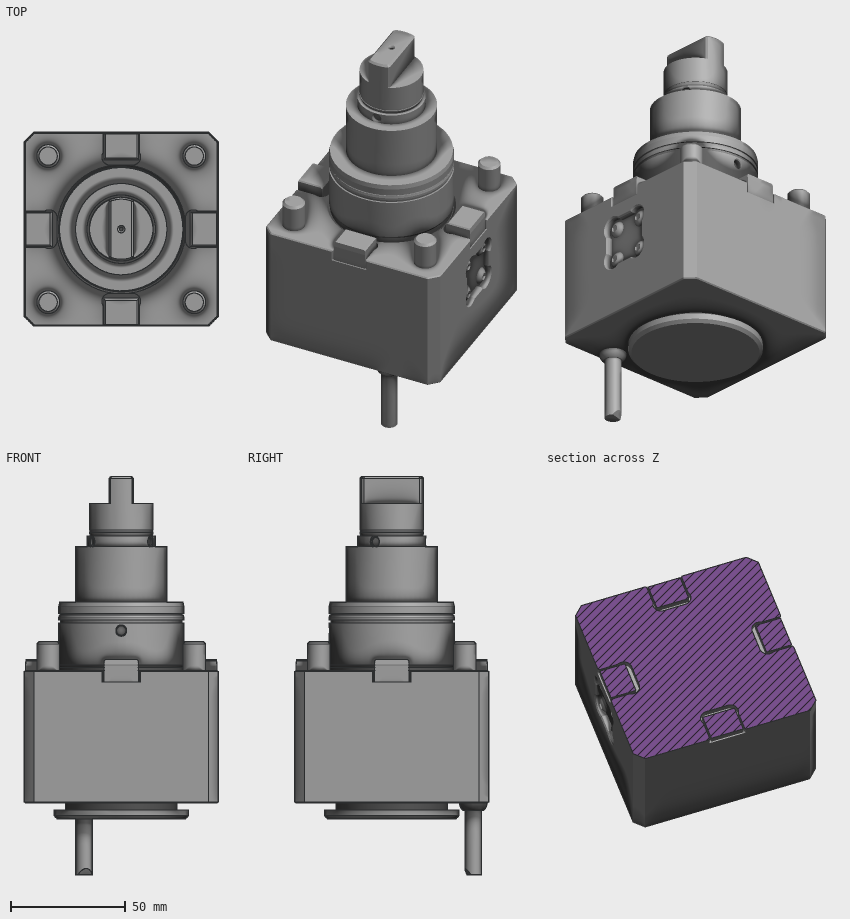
import cadquery as cq
import math


CHAMFER_ANGLE = 45.0
SIDE_ANGLES = (0, 90, 180, 270)
CUT_OVERSHOOT = 2.0

HOUSING_SIDE = 85.0
HOUSING_HEIGHT = 58.0
CORNER_CHAMFER = 4.25
RIM_CHAMFER = 0.5
HALF_SIDE = HOUSING_SIDE / 2

MOAT_DIAMETER = 56.6
MOAT_DEPTH = 1.0

BOSS_DIAMETER = 54.9
BOSS_TOP = 30.0
BOSS_TOP_DIAMETER = 54.0
BOSS_LEAD_IN = 2.0
BOSS_FOOT_DIAMETER = 53.9
FOOT_TAPER_BOTTOM = 1.4
FOOT_TAPER_TOP = 2.4
UPPER_GROOVE = (24.3, 24.9)
LOWER_GROOVE = (20.8, 22.2)
BOSS_GROOVE_DIAMETER = 53.4
LAND_TAPER_START = 23.2
LAND_TOP_DIAMETER = 54.3
BOSS_HOLE_DIAMETER = 4.13
BOSS_HOLE_MOUTH = 5.0
BOSS_HOLE_Z = 17.5
BOSS_HOLE_DEPTH = 3.0
BOSS_HOLE_ANGLE = -90

SHAFT_DIAMETER = 40.0
SHAFT_TOP = 54.3
COLLAR_DIAMETER = 30.0
COLLAR_TOP = 59.0
HEAD_DIAMETER = 28.0
HEAD_NECK_DIAMETER = 27.0
HEAD_BOTTOM = 60.4
HEAD_GROOVE = (60.7, 61.6)
HEAD_GROOVE_DIAMETER = 27.5
SHOULDER_Z = 73.2

COLLAR_HOLE_ANGLES = (90, 210, 330)
COLLAR_HOLE_DIAMETER = 4.0
COLLAR_HOLE_MOUTH = 5.0
COLLAR_HOLE_Z = 56.4
COLLAR_HOLE_DEPTH = 1.5

BLADE_WIDTH = 10.7
BLADE_TOP = 85.0
BLADE_EDGE_CHAMFER = 0.7
BLADE_TOP_CHAMFER = 0.85
CENTRE_HOLE_DIAMETER = 1.6
CENTRE_HOLE_MOUTH = 3.2
CENTRE_HOLE_DEPTH = 3.0

POST_DIAMETER = 10.0
POST_OFFSET = 32.0
POST_HEIGHT = 12.7
POST_CHAMFER = 1.0

KEY_WIDTH = 15.0
KEY_TOP = 4.75
KEY_INNER = 30.2
KEY_INNER_CHAMFER = 1.0
KEY_OUTER_SETBACK = 0.5
KEY_SLOPE_SETBACK = 0.3
KEY_SLOPE_START = 2.4
KEY_SIDE_CHAMFER = 0.5
SLOT_WIDTH = 16.0
SLOT_DEPTH = 5.0
SLOT_MOUTH_CHAMFER = 0.5
SLOT_INNER = 28.1
RELIEF_DIAMETER = 7.0
RELIEF_OVERCUT = 0.5

POCKET_Z = -23.0
POCKET_SIDE = 22.1
POCKET_DEPTH = 3.0
POCKET_CHAMFER = 0.6
LOBE_DIAMETER = 9.8
SCREW_OFFSET = 7.5
SCREW_HEAD_DIAMETER = 7.6
SCREW_HEAD_HEIGHT = 2.2
SCREW_SOCKET_DIAMETER = 3.6
SCREW_SOCKET_DEPTH = 1.2

NECK_DIAMETER = 49.0
NECK_HEIGHT = 3.0
FLANGE_DIAMETER = 59.0
FLANGE_HEIGHT = 4.0
FLANGE_CHAMFER = 1.4

CABLE_X = -16.3
CABLE_Y = 35.7
CABLE_DIAMETER = 7.4
CABLE_BOTTOM = -89.5
CABLE_CUT_RISE = 2.8
CABLE_CUT_OFFSET = 1.9
CABLE_CUT_ANGLE = -75
GLAND_DIAMETER = 12.0
GLAND_END_DIAMETER = 8.4
GLAND_HEIGHT = 3.4
GLAND_BULGE = 0.4


def cylinder(diameter, bottom, top):
    return cq.Workplane("XY", origin=(0, 0, bottom)).circle(diameter / 2).extrude(top - bottom)


def cone(bottom_diameter, top_diameter, bottom, top):
    """Truncated cone on the Z axis."""
    solid = cq.Solid.makeCone(bottom_diameter / 2, top_diameter / 2, top - bottom, cq.Vector(0, 0, bottom))
    return cq.Workplane(obj=solid)


def radial_cutter(hole_diameter, mouth_diameter, face_radius, depth, z, angle):
    """Flat-bottomed radial hole whose mouth is countersunk by 45 degrees."""
    mouth_depth = (mouth_diameter - hole_diameter) / 2
    direction = cq.Vector(math.cos(math.radians(angle)), math.sin(math.radians(angle)), 0)
    bottom = direction * (face_radius - depth) + cq.Vector(0, 0, z)
    hole = cq.Solid.makeCylinder(hole_diameter / 2, depth + CUT_OVERSHOOT, bottom, direction)
    mouth_start = direction * (face_radius - mouth_depth) + cq.Vector(0, 0, z)
    mouth = cq.Solid.makeCone(hole_diameter / 2, mouth_diameter / 2, mouth_depth, mouth_start, direction)
    return cq.Workplane(obj=hole).union(cq.Workplane(obj=mouth))


def ring_groove(outer_diameter, groove_diameter, limits):
    bottom, top = limits
    return cylinder(outer_diameter + CUT_OVERSHOOT, bottom, top).cut(cylinder(groove_diameter, bottom, top))


def make_housing():
    housing = cq.Workplane("XY").box(HOUSING_SIDE, HOUSING_SIDE, HOUSING_HEIGHT, centered=(True, True, False))
    housing = housing.translate((0, 0, -HOUSING_HEIGHT))
    housing = housing.edges("|Z").chamfer(CORNER_CHAMFER)
    housing = housing.faces("<Z or >Z").chamfer(RIM_CHAMFER)
    moat_floor_diameter = MOAT_DIAMETER - 2 * MOAT_DEPTH
    return housing.cut(cone(moat_floor_diameter, MOAT_DIAMETER, -MOAT_DEPTH, 0))


def make_boss():
    boss = cylinder(BOSS_FOOT_DIAMETER, -MOAT_DEPTH, FOOT_TAPER_BOTTOM)
    boss = boss.union(cone(BOSS_FOOT_DIAMETER, BOSS_DIAMETER, FOOT_TAPER_BOTTOM, FOOT_TAPER_TOP))
    boss = boss.union(cylinder(BOSS_DIAMETER, FOOT_TAPER_TOP, BOSS_TOP - BOSS_LEAD_IN))
    boss = boss.union(cone(BOSS_DIAMETER, BOSS_TOP_DIAMETER, BOSS_TOP - BOSS_LEAD_IN, BOSS_TOP))
    for limits in (UPPER_GROOVE, LOWER_GROOVE):
        boss = boss.cut(ring_groove(BOSS_DIAMETER, BOSS_GROOVE_DIAMETER, limits))
    land_top = UPPER_GROOVE[0]
    land_ring = cylinder(BOSS_DIAMETER + CUT_OVERSHOOT, LAND_TAPER_START, land_top)
    boss = boss.cut(land_ring.cut(cone(BOSS_DIAMETER, LAND_TOP_DIAMETER, LAND_TAPER_START, land_top)))
    hole = radial_cutter(BOSS_HOLE_DIAMETER, BOSS_HOLE_MOUTH, BOSS_DIAMETER / 2,
                         BOSS_HOLE_DEPTH, BOSS_HOLE_Z, BOSS_HOLE_ANGLE)
    return boss.cut(hole)


def make_shaft():
    shaft = cylinder(SHAFT_DIAMETER, BOSS_TOP, SHAFT_TOP)
    shaft = shaft.union(cylinder(COLLAR_DIAMETER, SHAFT_TOP, COLLAR_TOP))
    for angle in COLLAR_HOLE_ANGLES:
        shaft = shaft.cut(radial_cutter(COLLAR_HOLE_DIAMETER, COLLAR_HOLE_MOUTH, COLLAR_DIAMETER / 2,
                                        COLLAR_HOLE_DEPTH, COLLAR_HOLE_Z, angle))
    shaft = shaft.union(cone(HEAD_NECK_DIAMETER, HEAD_DIAMETER, COLLAR_TOP, HEAD_BOTTOM))
    shaft = shaft.union(cylinder(HEAD_DIAMETER, HEAD_BOTTOM, SHOULDER_Z))
    return shaft.cut(ring_groove(HEAD_DIAMETER, HEAD_GROOVE_DIAMETER, HEAD_GROOVE))


def make_blade():
    height = BLADE_TOP - SHOULDER_Z
    slab = cq.Workplane("XY", origin=(0, 0, SHOULDER_Z + height / 2)).box(BLADE_WIDTH, HEAD_DIAMETER, height)
    blade = cylinder(HEAD_DIAMETER, SHOULDER_Z, BLADE_TOP).intersect(slab)
    blade = blade.edges("|Z").chamfer(BLADE_EDGE_CHAMFER)
    blade = blade.faces(">Z").chamfer(BLADE_TOP_CHAMFER)
    mouth_depth = (CENTRE_HOLE_MOUTH - CENTRE_HOLE_DIAMETER) / 2
    blade = blade.cut(cylinder(CENTRE_HOLE_DIAMETER, BLADE_TOP - CENTRE_HOLE_DEPTH, BLADE_TOP))
    return blade.cut(cone(CENTRE_HOLE_DIAMETER, CENTRE_HOLE_MOUTH, BLADE_TOP - mouth_depth, BLADE_TOP))


def make_post(x, y):
    post = cylinder(POST_DIAMETER, 0, POST_HEIGHT).faces(">Z").chamfer(POST_CHAMFER)
    return post.translate((x, y, 0))


def make_slot():
    """Open slot on the -Y side, with round relief cuts at its inner corners."""
    relief_radius = RELIEF_DIAMETER / 2
    relief_x = SLOT_WIDTH / 2 + RELIEF_OVERCUT - relief_radius
    relief_y = -(SLOT_INNER + relief_radius)
    floor = cq.Workplane("XY", origin=(0, 0, -SLOT_DEPTH))
    straight_length = HALF_SIDE + relief_y
    slot = floor.center(0, -HALF_SIDE).rect(SLOT_WIDTH, 2 * straight_length).extrude(SLOT_DEPTH)
    slot = slot.union(floor.center(0, relief_y).rect(2 * relief_x, RELIEF_DIAMETER).extrude(SLOT_DEPTH))
    reliefs = floor.pushPoints([(-relief_x, relief_y), (relief_x, relief_y)])
    slot = slot.union(reliefs.circle(relief_radius).extrude(SLOT_DEPTH))
    mouth_width = SLOT_WIDTH + 2 * SLOT_MOUTH_CHAMFER
    mouth = cq.Workplane("XZ", origin=(0, -HALF_SIDE, 0)).rect(mouth_width, 2 * SLOT_DEPTH)
    return slot.union(mouth.extrude(-SLOT_MOUTH_CHAMFER, taper=CHAMFER_ANGLE))


def make_key():
    """Key on the -Y side; its outer face leans inward near the top."""
    outer = HALF_SIDE - KEY_OUTER_SETBACK
    profile = [
        (-outer, -SLOT_DEPTH),
        (-outer, KEY_SLOPE_START),
        (-outer + KEY_SLOPE_SETBACK, KEY_TOP),
        (-KEY_INNER - KEY_INNER_CHAMFER, KEY_TOP),
        (-KEY_INNER, KEY_TOP - KEY_INNER_CHAMFER),
        (-KEY_INNER, -SLOT_DEPTH),
    ]
    key = cq.Workplane("YZ").polyline(profile).close().extrude(KEY_WIDTH / 2, both=True)
    return key.faces(">Z").edges("|Y").chamfer(KEY_SIDE_CHAMFER)


def extrude_pocket_outline(plane, screw_pattern, growth, depth, taper):
    """Cross-shaped centre and four lobes, each enlarged outward by the growth."""
    long_side = POCKET_SIDE + 2 * growth
    short_side = 2 * (SCREW_OFFSET + growth)
    outline = plane.rect(long_side, short_side).extrude(depth, taper=taper)
    outline = outline.union(plane.rect(short_side, long_side).extrude(depth, taper=taper))
    lobes = plane.pushPoints(screw_pattern).circle(LOBE_DIAMETER / 2 + growth)
    return outline.union(lobes.extrude(depth, taper=taper))


def make_pocket():
    """Square pocket with a round lobe at each screw, chamfered around its mouth."""
    screw_pattern = [(sy * SCREW_OFFSET, sz * SCREW_OFFSET) for sy in (-1, 1) for sz in (-1, 1)]
    plane = cq.Workplane("YZ", origin=(-HALF_SIDE, 0, POCKET_Z))
    pocket = extrude_pocket_outline(plane, screw_pattern, 0, POCKET_DEPTH, 0)
    mouth = extrude_pocket_outline(plane, screw_pattern, POCKET_CHAMFER, POCKET_CHAMFER, CHAMFER_ANGLE)
    pocket = pocket.union(mouth)
    for y, z in screw_pattern:
        pocket = pocket.cut(make_screw_head(y, POCKET_Z + z))
    return pocket


def make_screw_head(y, z):
    """Domed screw head with a hexagon socket, standing on the pocket floor."""
    rim = SCREW_HEAD_DIAMETER / 2
    dome_radius = (rim ** 2 + SCREW_HEAD_HEIGHT ** 2) / (2 * SCREW_HEAD_HEIGHT)
    dome_center = SCREW_HEAD_HEIGHT - dome_radius
    mid_radius = rim / 2
    mid_point = (mid_radius, dome_center + math.sqrt(dome_radius ** 2 - mid_radius ** 2))
    profile = cq.Workplane("XZ").lineTo(rim, 0).threePointArc(mid_point, (0, SCREW_HEAD_HEIGHT)).close()
    head = profile.revolve(360, (0, 0), (0, 1))
    socket = cq.Workplane("XY", origin=(0, 0, SCREW_HEAD_HEIGHT)).polygon(6, SCREW_SOCKET_DIAMETER)
    head = head.cut(socket.extrude(-SCREW_SOCKET_DEPTH))
    head = head.rotate((0, 0, 0), (0, 1, 0), -90)
    return head.translate((-HALF_SIDE + POCKET_DEPTH, y, z))


def make_flange():
    neck_bottom = -HOUSING_HEIGHT - NECK_HEIGHT
    neck = cylinder(NECK_DIAMETER, neck_bottom, -HOUSING_HEIGHT)
    flange = cylinder(FLANGE_DIAMETER, neck_bottom - FLANGE_HEIGHT, neck_bottom)
    return neck.union(flange.faces("<Z").chamfer(FLANGE_CHAMFER))


def make_cable():
    """Cable and rounded gland below the housing; the cable end is cut obliquely, mostly on the -Y side."""
    radius = CABLE_DIAMETER / 2
    cable = cylinder(CABLE_DIAMETER, CABLE_BOTTOM, -HOUSING_HEIGHT)
    cut_profile = [(CABLE_CUT_OFFSET, 0), (radius, 0), (radius, CABLE_CUT_RISE)]
    wedge = cq.Workplane("XZ").polyline(cut_profile).close()
    wedge = wedge.extrude(radius, both=True).rotate((0, 0, 0), (0, 0, 1), CABLE_CUT_ANGLE)
    cable = cable.cut(wedge.translate((0, 0, CABLE_BOTTOM)))
    top_radius = GLAND_DIAMETER / 2
    end_radius = GLAND_END_DIAMETER / 2
    gland_end = -HOUSING_HEIGHT - GLAND_HEIGHT
    flank = ((top_radius + end_radius) / 2 + GLAND_BULGE, gland_end + GLAND_HEIGHT / 2 - GLAND_BULGE)
    gland = cq.Workplane("XZ").moveTo(0, -HOUSING_HEIGHT).lineTo(top_radius, -HOUSING_HEIGHT)
    gland = gland.threePointArc(flank, (end_radius, gland_end)).lineTo(0, gland_end).close()
    return cable.union(gland.revolve(360, (0, 0), (0, 1))).translate((CABLE_X, CABLE_Y, 0))


def make_part():
    part = make_housing()
    slot = make_slot()
    key = make_key()
    for angle in SIDE_ANGLES:
        part = part.cut(slot.rotate((0, 0, 0), (0, 0, 1), angle))
        part = part.union(key.rotate((0, 0, 0), (0, 0, 1), angle))
    part = part.cut(make_pocket())
    for x in (-POST_OFFSET, POST_OFFSET):
        for y in (-POST_OFFSET, POST_OFFSET):
            part = part.union(make_post(x, y))
    for section in (make_boss(), make_shaft(), make_blade(), make_flange(), make_cable()):
        part = part.union(section)
    return part


result = make_part()